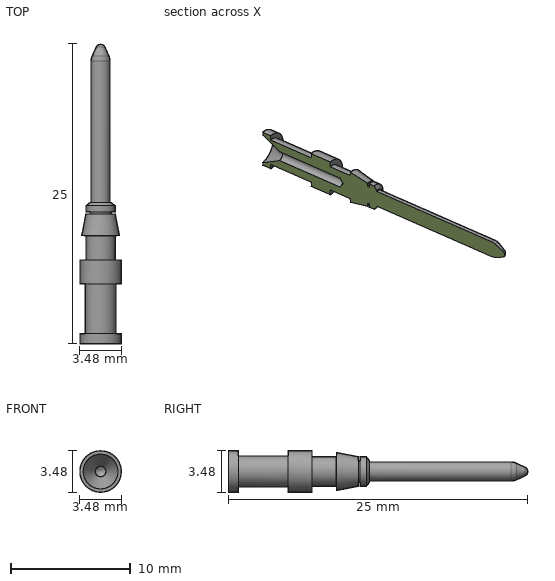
import cadquery as cq
import math

length = 25.0

PROFILE_PLANE = cq.Plane(origin=(0, 0, 0), xDir=(0, 0, 1), normal=(-1, 0, 0))

flange_radius = 3.48 / 2
flange_end = 0.85
barrel_radius = 2.6 / 2
collar_radius = flange_radius
collar_start = 5.0
collar_end = 7.0

neck_radius = 2.48 / 2
neck_end = 9.0
barb_radius = 3.18 / 2
barb_undercut = 0.05
barb_end = 10.85
groove_radius = 1.8 / 2
groove_end = 11.0

ring_end = 11.52
bevel_end = 11.8
bevel_radius = 1.75 / 2

pin_radius = 1.6 / 2
shoulder_blend_radius = 1.0
nose_radius = 0.4
taper_angle = math.radians(25)

entry_radius = 2.9 / 2
entry_half_angle = math.radians(30)
bore_radius = 0.88 / 2
bore_depth = 8.0
drill_half_angle = math.radians(59)


def arc_point(center_radius, center_y, radius, angle):
    """Profile point on an arc, with the angle measured from the radial direction."""
    return (center_radius + radius * math.cos(angle), center_y + radius * math.sin(angle))


def make_body():
    nose_center_y = length - nose_radius
    nose_start = arc_point(0, nose_center_y, nose_radius, taper_angle)
    nose_middle = arc_point(0, nose_center_y, nose_radius, (taper_angle + math.pi / 2) / 2)

    blend_center_radius = pin_radius - shoulder_blend_radius
    blend_end_radius = blend_center_radius + shoulder_blend_radius * math.cos(taper_angle)
    blend_end_y = nose_start[1] - (blend_end_radius - nose_start[0]) / math.tan(taper_angle)
    blend_start_y = blend_end_y - shoulder_blend_radius * math.sin(taper_angle)
    blend_middle = arc_point(
        blend_center_radius, blend_start_y, shoulder_blend_radius, taper_angle / 2
    )

    profile = (
        cq.Workplane(PROFILE_PLANE)
        .moveTo(0, 0)
        .lineTo(flange_radius, 0)
        .lineTo(flange_radius, flange_end)
        .lineTo(barrel_radius, flange_end)
        .lineTo(barrel_radius, collar_start)
        .lineTo(collar_radius, collar_start)
        .lineTo(collar_radius, collar_end)
        .lineTo(neck_radius, collar_end)
        .lineTo(neck_radius, neck_end)
        .lineTo(barb_radius, neck_end + barb_undercut)
        .lineTo(neck_radius, barb_end)
        .lineTo(groove_radius, barb_end)
        .lineTo(groove_radius, groove_end)
        .lineTo(neck_radius, groove_end)
        .lineTo(neck_radius, ring_end)
        .lineTo(bevel_radius, bevel_end)
        .lineTo(pin_radius, bevel_end)
        .lineTo(pin_radius, blend_start_y)
        .threePointArc(blend_middle, (blend_end_radius, blend_end_y))
        .lineTo(*nose_start)
        .threePointArc(nose_middle, (0, length))
        .close()
    )
    return profile.revolve(360, (0, 0, 0), (0, 1, 0))


def make_bore():
    """Conical entry leading into a drilled hole with a conical bottom."""
    entry_depth = (entry_radius - bore_radius) / math.tan(entry_half_angle)
    drill_tip_y = bore_depth + bore_radius / math.tan(drill_half_angle)
    profile = (
        cq.Workplane(PROFILE_PLANE)
        .moveTo(0, 0)
        .lineTo(entry_radius, 0)
        .lineTo(bore_radius, entry_depth)
        .lineTo(bore_radius, bore_depth)
        .lineTo(0, drill_tip_y)
        .close()
    )
    return profile.revolve(360, (0, 0, 0), (0, 1, 0))


result = make_body().cut(make_bore())